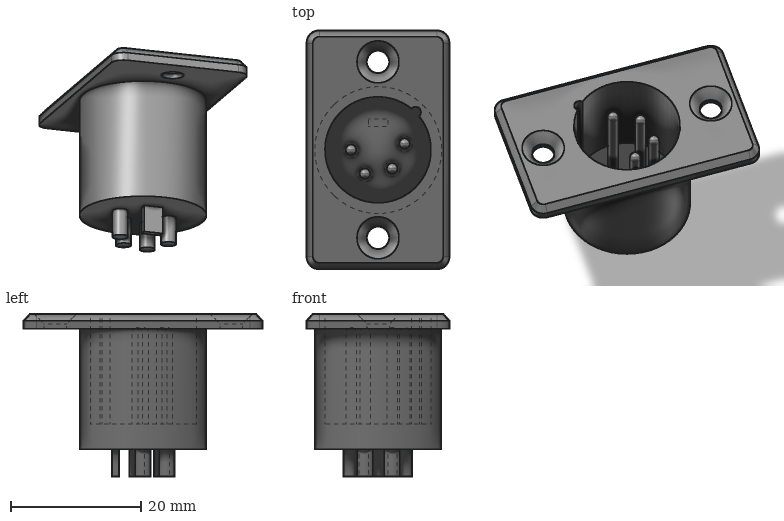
import cadquery as cq
import math

PLATE_WIDTH = 22.0
PLATE_LENGTH = 36.7
PLATE_THICKNESS = 2.28
CORNER_RADIUS = 2.0
BEVEL_INSET = 1.0
BEVEL_HEIGHT = 1.05

SCREW_SPACING = 27.0
SCREW_DIAMETER = 3.4
COUNTERSINK_DIAMETER = 6.45
COUNTERSINK_ANGLE = 90

TOTAL_HEIGHT = 25.0
TAIL_LENGTH = 4.2
SHELL_DIAMETER = 19.5
SOCKET_DIAMETER = 16.3
SOCKET_DEPTH = 16.9
KEY_RADIUS = 0.85
KEY_ANGLE = math.radians(45)

PIN_CENTERS = [(-4.15, 0), (-2.02, -3.67), (2.15, -2.85), (4.07, 0.95)]
PIN_RADIUS = 0.8
PIN_TIP_DEPTH = 2.05
TAIL_RADIUS = 1.17

TAB_WIDTH = 3.0
TAB_THICKNESS = 1.15
TAB_CENTER_Y = 4.22

shell_bottom = TAIL_LENGTH - TOTAL_HEIGHT


def cylinder(radius, bottom, top, centers):
    """Upright cylinders between two heights, one at each center."""
    return (
        cq.Workplane("XY", origin=(0, 0, bottom))
        .pushPoints(centers)
        .circle(radius)
        .extrude(top - bottom)
    )


def make_plate():
    """Rounded rectangular flange with a bevelled top rim."""
    return (
        cq.Workplane("XY", origin=(0, 0, -PLATE_THICKNESS))
        .rect(PLATE_WIDTH, PLATE_LENGTH)
        .extrude(PLATE_THICKNESS)
        .edges("|Z")
        .fillet(CORNER_RADIUS)
        .faces(">Z")
        .chamfer(BEVEL_HEIGHT, BEVEL_INSET)
    )


def drill_screw_holes(body):
    return (
        body.faces(">Z")
        .workplane(origin=(0, 0, 0))
        .pushPoints([(0, -SCREW_SPACING / 2), (0, SCREW_SPACING / 2)])
        .cskHole(SCREW_DIAMETER, COUNTERSINK_DIAMETER, COUNTERSINK_ANGLE, depth=PLATE_THICKNESS)
    )


def make_socket():
    """Round cavity with a key groove centered on its wall."""
    socket_radius = SOCKET_DIAMETER / 2
    key_center = (socket_radius * math.cos(KEY_ANGLE), socket_radius * math.sin(KEY_ANGLE))
    bore = cylinder(socket_radius, -SOCKET_DEPTH, 0, [(0, 0)])
    key = cylinder(KEY_RADIUS, -SOCKET_DEPTH, 0, [key_center])
    return bore.union(key)


def make_pins():
    """Contact pins standing on the socket floor, with hemispherical tips."""
    dome_height = -PIN_TIP_DEPTH - PIN_RADIUS
    pins = cylinder(PIN_RADIUS, -SOCKET_DEPTH, dome_height, PIN_CENTERS)
    domes = (
        cq.Workplane("XY", origin=(0, 0, dome_height))
        .pushPoints(PIN_CENTERS)
        .sphere(PIN_RADIUS)
    )
    return pins.union(domes)


def make_tab():
    return (
        cq.Workplane("XY", origin=(0, TAB_CENTER_Y, -TOTAL_HEIGHT))
        .rect(TAB_WIDTH, TAB_THICKNESS)
        .extrude(TAIL_LENGTH)
    )


shell = cylinder(SHELL_DIAMETER / 2, shell_bottom, -PLATE_THICKNESS, [(0, 0)])
tails = cylinder(TAIL_RADIUS, -TOTAL_HEIGHT, shell_bottom, PIN_CENTERS)

result = drill_screw_holes(make_plate()).union(shell).cut(make_socket())
result = result.union(make_pins()).union(tails).union(make_tab())